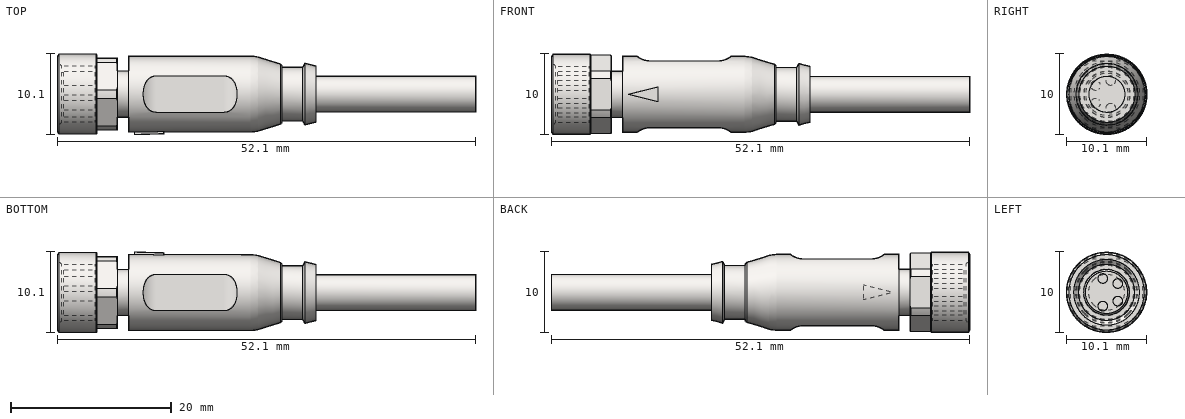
import cadquery as cq
import math

TOTAL_LENGTH = 52.1

NUT_DIAMETER = 10.0
COLLAR_END = 4.9
COLLAR_FRONT_CHAMFER = 0.2
COLLAR_REAR_CHAMFER = 0.1
COLLAR_FRONT_RIM_DIAMETER = 9.4
HEX_END = 7.45
HEX_ACROSS_FLATS = 8.95
HEX_CORNER_DIAMETER = 9.8
HEX_CHAMFER = 0.1

MOUTH_DIAMETER = 8.2
SOCKET_DIAMETER = 7.0
MOUTH_DEPTH = 0.5
SOCKET_DEPTH = 4.7

INSERT_DIAMETER = 5.7
INSERT_CHAMFER = 0.2
INSERT_FACE = 0.5
CONTACT_DIAMETER = 1.2
INNER_CONTACT = (0.45, 1.7)
OUTER_CONTACT = (-1.4, 1.1)

NECK_DIAMETER = 5.8
BODY_START = 8.85
BODY_DIAMETER = 9.5
BLEND_START = 24.05
TAPER_START = 25.0
TAPER_START_DIAMETER = 9.2
TAPER_END = 27.75
TAPER_END_DIAMETER = 7.5
TAPER_EDGE = 0.2

RELIEF_DIAMETER = 6.7
FLANGE_START = 30.55
FLANGE_PEAK = 30.8
FLANGE_PEAK_DIAMETER = 7.7
FLANGE_END = 32.2
FLANGE_END_DIAMETER = 7.0
CABLE_DIAMETER = 4.5

FLAT_START = 12.3
FLAT_END = 20.75
FLAT_HEIGHT = 4.15
FLAT_END_RADIUS = 2.6

ARROW_TIP = 9.6
ARROW_BASE = 13.25
ARROW_BASE_WIDTH = 1.8
ARROW_TIP_REACH = 5.05
ARROW_BASE_REACH = 4.95


def cylinder(start, end, diameter):
    """Cylinder on the X axis between two stations."""
    return cq.Workplane("YZ", origin=(start, 0, 0)).circle(diameter / 2).extrude(end - start)


def revolve_profile(profile):
    """Turn a closed (x, radius) outline about the X axis."""
    return profile.close().revolve(360, (0, 0, 0), (1, 0, 0))


def make_nut():
    collar = revolve_profile(
        cq.Workplane("XY")
        .lineTo(0, COLLAR_FRONT_RIM_DIAMETER / 2)
        .lineTo(COLLAR_FRONT_CHAMFER, NUT_DIAMETER / 2)
        .lineTo(COLLAR_END - COLLAR_REAR_CHAMFER, NUT_DIAMETER / 2)
        .lineTo(COLLAR_END, NUT_DIAMETER / 2 - COLLAR_REAR_CHAMFER)
        .lineTo(COLLAR_END, 0)
    )
    hex_length = HEX_END - COLLAR_END
    corner_to_corner = HEX_ACROSS_FLATS / math.cos(math.pi / 6)
    hexagon = (
        cq.Workplane("YZ", origin=(COLLAR_END, 0, 0))
        .transformed(rotate=(0, 0, 90))
        .polygon(6, corner_to_corner)
        .extrude(hex_length)
    )
    corner_rounding = cylinder(COLLAR_END, HEX_END, HEX_CORNER_DIAMETER).faces(">X").chamfer(HEX_CHAMFER)
    return collar.union(hexagon.intersect(corner_rounding))


def make_socket():
    """Void in the nut: conical mouth and straight bore around the insert, plus the contact holes."""
    void = revolve_profile(
        cq.Workplane("XY")
        .lineTo(0, MOUTH_DIAMETER / 2)
        .lineTo(MOUTH_DEPTH, SOCKET_DIAMETER / 2)
        .lineTo(SOCKET_DEPTH, SOCKET_DIAMETER / 2)
        .lineTo(SOCKET_DEPTH, 0)
    )
    insert = cylinder(INSERT_FACE, SOCKET_DEPTH, INSERT_DIAMETER).faces("<X").chamfer(INSERT_CHAMFER)
    contact_points = [
        (y, side * z)
        for y, z in (INNER_CONTACT, OUTER_CONTACT)
        for side in (1, -1)
    ]
    contacts = (
        cq.Workplane("YZ", origin=(INSERT_FACE, 0, 0))
        .pushPoints(contact_points)
        .circle(CONTACT_DIAMETER / 2)
        .extrude(SOCKET_DEPTH - INSERT_FACE)
    )
    return void.cut(insert.cut(contacts))


def make_body():
    """Neck, grip, taper, strain relief and cable as one turned shape."""
    return revolve_profile(
        cq.Workplane("XY")
        .moveTo(COLLAR_END, 0)
        .lineTo(COLLAR_END, NECK_DIAMETER / 2)
        .lineTo(BODY_START, NECK_DIAMETER / 2)
        .lineTo(BODY_START, BODY_DIAMETER / 2)
        .lineTo(BLEND_START, BODY_DIAMETER / 2)
        .tangentArcPoint((TAPER_START, TAPER_START_DIAMETER / 2), relative=False)
        .lineTo(TAPER_END, TAPER_END_DIAMETER / 2)
        .lineTo(TAPER_END + TAPER_EDGE, TAPER_END_DIAMETER / 2 - TAPER_EDGE)
        .lineTo(TAPER_END + TAPER_EDGE, RELIEF_DIAMETER / 2)
        .lineTo(FLANGE_START, RELIEF_DIAMETER / 2)
        .lineTo(FLANGE_PEAK, FLANGE_PEAK_DIAMETER / 2)
        .lineTo(FLANGE_END, FLANGE_END_DIAMETER / 2)
        .lineTo(FLANGE_END, CABLE_DIAMETER / 2)
        .lineTo(TOTAL_LENGTH, CABLE_DIAMETER / 2)
        .lineTo(TOTAL_LENGTH, 0)
    )


def make_grip_flat():
    """Cutter for the top flat, running out at both ends in upward-curving arcs."""
    return (
        cq.Workplane("XZ")
        .moveTo(FLAT_START, FLAT_HEIGHT)
        .lineTo(FLAT_END, FLAT_HEIGHT)
        .tangentArcPoint((FLAT_END_RADIUS, FLAT_END_RADIUS))
        .lineTo(FLAT_START - FLAT_END_RADIUS, FLAT_HEIGHT + FLAT_END_RADIUS)
        .radiusArc((FLAT_START, FLAT_HEIGHT), -FLAT_END_RADIUS)
        .close()
        .extrude(BODY_DIAMETER / 2, both=True)
    )


def make_arrow():
    """Triangular marker whose face slopes down from the tip to the base."""
    half_width = ARROW_BASE_WIDTH / 2
    triangle = (
        cq.Workplane("XZ")
        .polyline([(ARROW_TIP, 0), (ARROW_BASE, half_width), (ARROW_BASE, -half_width)])
        .close()
        .extrude(BODY_DIAMETER)
    )
    slope = (
        cq.Workplane("XY")
        .polyline([
            (ARROW_TIP, 0),
            (ARROW_TIP, -ARROW_TIP_REACH),
            (ARROW_BASE, -ARROW_BASE_REACH),
            (ARROW_BASE, 0),
        ])
        .close()
        .extrude(half_width, both=True)
    )
    return triangle.intersect(slope)


top_flat = make_grip_flat()
bottom_flat = top_flat.mirror("XY")
grip = make_body().cut(top_flat).cut(bottom_flat).union(make_arrow())
result = make_nut().union(grip).cut(make_socket())